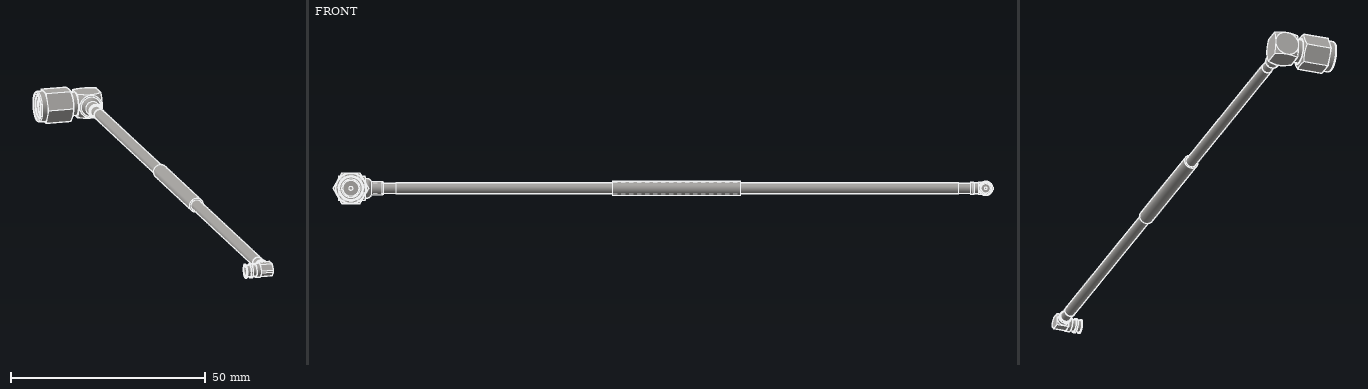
import cadquery as cq
import math


nut_flats = 8.0
nut_corners = nut_flats / math.cos(math.pi / 6)
nut_start = 4.5
nut_hex_end = 11.5
nut_end = 13.36
nut_rear_radius = 3.4
nut_rear_chamfer = 0.5
nut_lip_chamfer = 0.3
nut_lip_drop = 0.2
thread_crest_radius = 2.9
thread_root_radius = 3.2
thread_pitch = 0.7
thread_start = 6.0

elbow_side = 6.3
elbow_half = elbow_side / 2
elbow_end = 3.7
elbow_cone_angle = math.radians(30)
elbow_front_inset = 0.2
collar_radius = 2.5
collar_end = 5.3
collar_middle = 4.8
collar_sag = 0.2
stub_radius = 3.0
shell_radius = 2.4
shell_end = 10.9

insulator_radius = 2.0
insulator_start = 6.8
pin_radius = 0.5
pin_end = 12.3

cable_radius = 1.45
stripped_radius = 1.4
jacket_start = 11.5
jacket_end = 156.6
ferrule_radius = 1.79
ferrule_end = 8.3
ferrule_chamfer = 0.3
ferrule_chamfer_drop = 0.2
sleeve_radius = 1.9
sleeve_start = 67.4
sleeve_end = 100.5
snap_ferrule_radius = 1.62
snap_ferrule_start = 159.7
snap_ferrule_end = 160.7

total_length = 170.2
snap_x = 163.6
snap_start = 161.7
snap_end = total_length - nut_corners / 2
snap_side = 3.2
snap_half = snap_side / 2
snap_bevel = 1.4
snap_neck_radius = 1.45
spout_radius = 1.5
spout_end = 5.5
bead_radius = 1.9
flange_end = 2.7
bead_start = 3.7
bead_end = 4.3
lip_width = 0.2
spout_bore_radius = 1.2
spout_bore_start = 2.5
contact_radius = 0.3
contact_end = 5.0


def rod_x(radius, start, end):
    """Round rod on the cable axis."""
    return cq.Workplane("YZ", origin=(start, 0, 0)).circle(radius).extrude(end - start)


def rod_out(radius, start, end, x=0):
    """Round rod along -Y, between two distances from the cable axis."""
    return cq.Workplane("XZ", origin=(x, -start, 0)).circle(radius).extrude(end - start)


def make_thread_bore():
    """Bore with ring-shaped V grooves standing in for the thread, starting at the open end."""
    groove_count = int((nut_end - thread_start) / thread_pitch)
    profile = [(0, -nut_end), (thread_root_radius, -nut_end)]
    for groove in range(groove_count):
        crest_y = -nut_end + (groove + 0.5) * thread_pitch
        profile.append((thread_crest_radius, crest_y))
        profile.append((thread_root_radius, crest_y + thread_pitch / 2))
    profile += [(thread_crest_radius, -thread_start), (0, -thread_start)]
    return cq.Workplane("XY").polyline(profile).close().revolve(360, (0, 0, 0), (0, 1, 0))


def make_coupling_nut():
    """Hexagon nut with a coned rear edge and a round lip, bored for the elbow stub and the thread."""
    hexagon = (
        cq.Workplane("XZ", origin=(0, -nut_start, 0))
        .polygon(6, nut_corners)
        .extrude(nut_hex_end - nut_start)
    )
    turned = (
        cq.Workplane("XY")
        .polyline([
            (0, -nut_start),
            (nut_rear_radius, -nut_start),
            (nut_corners / 2, -nut_start - nut_rear_chamfer),
            (nut_corners / 2, -nut_hex_end),
            (0, -nut_hex_end),
        ])
        .close()
        .revolve(360, (0, 0, 0), (0, 1, 0))
    )
    lip = rod_out(nut_flats / 2, nut_hex_end, nut_end)
    lip = lip.faces("<Y").chamfer(nut_lip_chamfer, nut_lip_drop)
    nut = hexagon.intersect(turned).union(lip)
    nut = nut.cut(rod_out(stub_radius, nut_start, thread_start))
    return nut.cut(make_thread_bore())


def make_elbow_block():
    """Square block whose corners are turned off by a cone at each end."""
    length = elbow_end + elbow_half
    block = (
        cq.Workplane("YZ", origin=(-elbow_half, 0, 0))
        .rect(elbow_side, elbow_side)
        .extrude(length)
    )
    corner_radius = elbow_half * math.sqrt(2)
    rear_drop = (corner_radius - elbow_half) * math.tan(elbow_cone_angle)
    front_radius = elbow_half - elbow_front_inset
    front_drop = corner_radius - front_radius
    turned = (
        cq.Workplane("XY")
        .polyline([
            (-elbow_half, 0),
            (-elbow_half, elbow_half),
            (-elbow_half + rear_drop, corner_radius),
            (elbow_end - front_drop, corner_radius),
            (elbow_end, front_radius),
            (elbow_end, 0),
        ])
        .close()
        .revolve(360, (0, 0, 0), (1, 0, 0))
    )
    return block.intersect(turned)


def make_collar():
    """Collar that rounds down to the ferrule radius."""
    return (
        cq.Workplane("XY")
        .lineTo(0, collar_radius)
        .lineTo(elbow_end, collar_radius)
        .threePointArc((collar_middle, collar_radius - collar_sag), (collar_end, ferrule_radius))
        .lineTo(collar_end, 0)
        .close()
        .revolve(360, (0, 0, 0), (1, 0, 0))
    )


def make_screw_elbow():
    elbow = make_elbow_block().union(make_collar())
    elbow = elbow.union(rod_out(stub_radius, elbow_half, thread_start))
    elbow = elbow.union(rod_out(shell_radius, thread_start, shell_end))
    return elbow.cut(rod_out(insulator_radius, insulator_start, shell_end))


def make_insulator():
    return rod_out(insulator_radius, insulator_start, shell_end).cut(
        rod_out(pin_radius, insulator_start, shell_end)
    )


def make_pin():
    return rod_out(pin_radius, insulator_start, pin_end)


def make_cable():
    """Jacketed cable with both ends stripped where they enter the ferrules."""
    jacket = rod_x(cable_radius, jacket_start, jacket_end)
    return jacket.union(rod_x(stripped_radius, collar_end, snap_ferrule_end))


def make_ferrule(radius, start, end):
    """Crimp ring on a stripped cable end, with its +X rim bevelled."""
    ferrule = rod_x(radius, start, end).faces(">X").chamfer(ferrule_chamfer, ferrule_chamfer_drop)
    return ferrule.cut(rod_x(stripped_radius, start, end))


def make_sleeve():
    return rod_x(sleeve_radius, sleeve_start, sleeve_end).cut(
        rod_x(cable_radius, sleeve_start, sleeve_end)
    )


def make_snap_elbow():
    block = (
        cq.Workplane("XZ", origin=(0, snap_half, 0))
        .polyline([
            (snap_start, -snap_half),
            (snap_end - snap_bevel, -snap_half),
            (snap_end, -snap_half + snap_bevel),
            (snap_end, snap_half - snap_bevel),
            (snap_end - snap_bevel, snap_half),
            (snap_start, snap_half),
        ])
        .close()
        .extrude(snap_side)
    )
    elbow = block.union(rod_x(snap_neck_radius, snap_ferrule_end, snap_start))
    elbow = elbow.union(rod_out(spout_radius, snap_half, spout_end, snap_x))
    beads = ((snap_half, flange_end), (bead_start, bead_end), (spout_end - lip_width, spout_end))
    for start, end in beads:
        elbow = elbow.union(rod_out(bead_radius, start, end, snap_x))
    elbow = elbow.cut(rod_out(spout_bore_radius, spout_bore_start, spout_end, snap_x))
    return elbow.cut(rod_out(contact_radius, 0, spout_bore_start, snap_x))


def make_contact():
    return rod_out(contact_radius, 0, contact_end, snap_x)


result = cq.Compound.makeCompound([
    make_coupling_nut().val(),
    make_screw_elbow().val(),
    make_insulator().val(),
    make_pin().val(),
    make_cable().val(),
    make_ferrule(ferrule_radius, collar_end, ferrule_end).val(),
    make_sleeve().val(),
    make_ferrule(snap_ferrule_radius, snap_ferrule_start, snap_ferrule_end).val(),
    make_snap_elbow().val(),
    make_contact().val(),
])